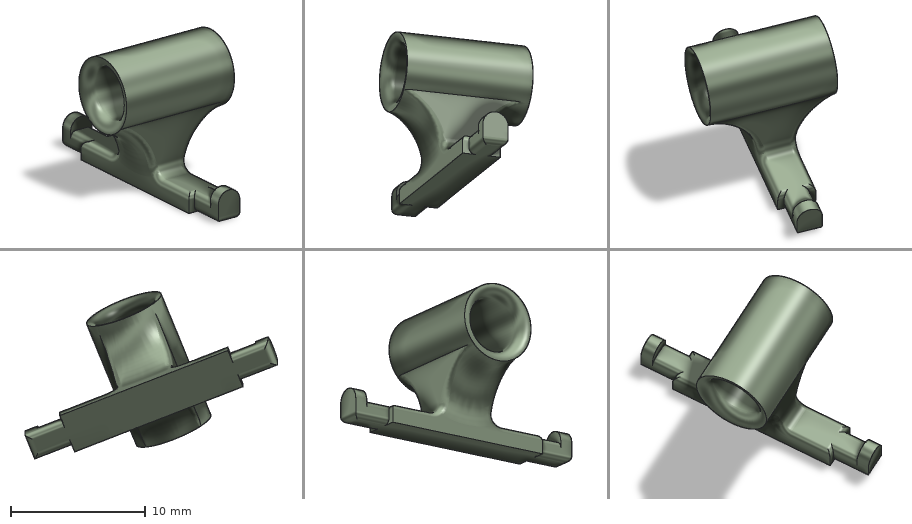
import cadquery as cq
import math

tube_length = 10.0
tube_radius = 3.0
bore_radius = 2.1
tube_axis_z = 8.0
mouth_round = tube_radius - bore_radius

base_length = 13.5
base_width = 3.0
base_height = 1.5
base_center_y = -0.5
edge_round = 0.5

post_width = 4.5
foot_radius = 1.0
flare_radius = 4.0

overall_length = 19.5
tab_width = 2.0
tab_overlap = 1.0
stop_thickness = 1.0

quarter_arc_sag = 1 - math.sqrt(0.5)

pick_tolerance = 0.01

trim_margin = 1.0
stock_y = tube_length / 2 + trim_margin


def make_flare_cutter(wall_y):
    """Ring about the tube axis that clears the +Y side of the post.

    Its arc leaves the wall at wall_y tangentially and passes through the outer rim of the tube.
    """
    rim_y = tube_length / 2
    center_y = wall_y + flare_radius
    center_r = tube_radius + math.sqrt(flare_radius**2 - (center_y - rim_y) ** 2)
    end_r = center_r - math.sqrt(flare_radius**2 - (center_y - stock_y) ** 2)
    outer_r = tube_axis_z + base_length
    return (
        cq.Workplane("XY")
        .moveTo(outer_r, wall_y)
        .lineTo(center_r, wall_y)
        .threePointArc((tube_radius, rim_y), (end_r, stock_y))
        .lineTo(outer_r, stock_y)
        .close()
        .revolve(360, (0, 0, 0), (0, 1, 0))
        .translate((0, 0, tube_axis_z))
    )


def top_edges_of_arm(side):
    """Selector for the two long edges and the end edge on top of one base arm."""
    foot_x = post_width / 2 + foot_radius
    inner_x = side * (foot_x + pick_tolerance)
    outer_x = side * (base_length / 2 + pick_tolerance)
    return cq.selectors.BoxSelector(
        (min(inner_x, outer_x), -base_width, base_height - pick_tolerance),
        (max(inner_x, outer_x), base_width, base_height + pick_tolerance),
    )


def trim_to_tube_ends(part):
    """Cut the flare stock off flush with the end planes of the tube."""
    return part.intersect(cq.Workplane("XY").box(overall_length, tube_length, 2 * tube_axis_z))


def make_body():
    """Base bar and flared post with all upper edges rounded."""
    half_base = base_length / 2
    half_post = post_width / 2
    foot_top = base_height + foot_radius
    foot_mid = foot_radius * quarter_arc_sag
    stock = (
        cq.Workplane("XZ")
        .moveTo(-half_base, 0)
        .lineTo(half_base, 0)
        .lineTo(half_base, base_height)
        .lineTo(half_post + foot_radius, base_height)
        .threePointArc((half_post + foot_mid, base_height + foot_mid), (half_post, foot_top))
        .lineTo(half_post, tube_axis_z)
        .lineTo(-half_post, tube_axis_z)
        .lineTo(-half_post, foot_top)
        .threePointArc(
            (-half_post - foot_mid, base_height + foot_mid), (-half_post - foot_radius, base_height)
        )
        .lineTo(-half_base, base_height)
        .close()
        .extrude(stock_y, both=True)
    )
    back_cutter = make_flare_cutter(base_width / 2 + base_center_y)
    front_cutter = make_flare_cutter(base_width / 2 - base_center_y).mirror("XZ")
    body = stock.cut(back_cutter).cut(front_cutter)
    body = body.edges(top_edges_of_arm(-1) + top_edges_of_arm(1)).fillet(edge_round)
    return trim_to_tube_ends(body)


def make_tab():
    """Tab and stop at the +X end of the base, rooted inside the base."""
    root_x = base_length / 2 - tab_overlap
    tip_x = overall_length / 2
    tab_length = tip_x - root_x
    tab = (
        cq.Workplane("XY")
        .box(tab_length, tab_width, base_height, centered=(False, True, False))
        .translate((root_x, 0, 0))
    )
    tab = tab.edges("|X and >Z").fillet(edge_round)
    stop = (
        cq.Workplane("YZ", origin=(tip_x, 0, 0))
        .moveTo(-tab_width / 2, 0)
        .lineTo(tab_width / 2, 0)
        .lineTo(tab_width / 2, base_height)
        .threePointArc((0, base_height + tab_width / 2), (-tab_width / 2, base_height))
        .close()
        .extrude(-stop_thickness)
    )
    tab = tab.union(stop)
    tab = tab.faces("<Z").edges("|X or >X").fillet(edge_round)
    return tab.translate((0, base_center_y, 0))


def make_tube():
    """Solid cylinder along Y; the bore is cut once the post is attached."""
    return (
        cq.Workplane("XZ", origin=(0, 0, tube_axis_z))
        .circle(tube_radius)
        .extrude(tube_length / 2, both=True)
    )


def cut_bore(part):
    """Through bore whose mouths flare out over the whole wall thickness."""
    mouth_y = tube_length / 2
    throat_y = mouth_y - mouth_round
    arc_mid = mouth_round * quarter_arc_sag
    bore = (
        cq.Workplane("XY")
        .moveTo(0, -mouth_y)
        .lineTo(tube_radius, -mouth_y)
        .threePointArc((bore_radius + arc_mid, -mouth_y + arc_mid), (bore_radius, -throat_y))
        .lineTo(bore_radius, throat_y)
        .threePointArc((bore_radius + arc_mid, mouth_y - arc_mid), (tube_radius, mouth_y))
        .lineTo(0, mouth_y)
        .close()
        .revolve(360, (0, 0, 0), (0, 1, 0))
        .translate((0, 0, tube_axis_z))
    )
    return part.cut(bore)


tab = make_tab()
holder = make_body().union(tab).union(tab.mirror("YZ")).union(make_tube())
result = cut_bore(holder)